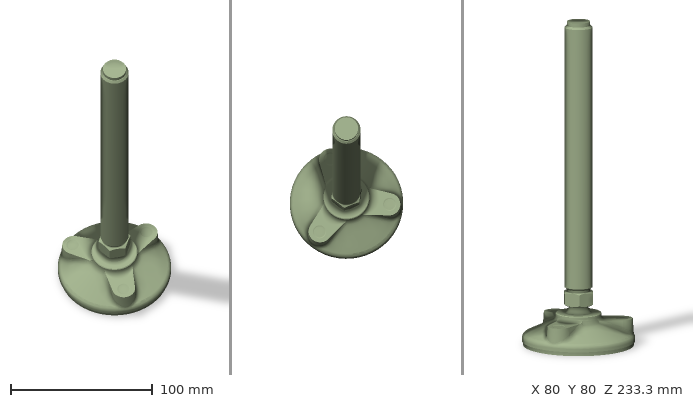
import cadquery as cq
import math

total_height = 233.28

base_pad_diameter = 78.2
base_pad_height = 2.9
plate_diameter = 80.0
rim_straight_top = 5.0
rim_round_radius = 4.0
cone_slope = math.radians(25)

hub_diameter = 32.4
hub_top = 23.4
hub_fillet_radius = 4.0
hub_edge_chamfer = 0.5

lug_count = 3
first_lug_angle = 90
lug_top = 18.9
recess_from_axis = 30.8
lug_end_from_axis = 30.2
lug_end_radius = 8.1
lug_root_radius = 11.3
lug_draft = 4.0
lug_base_fillet = 2.5
lug_hub_fillet = 2.3
lug_back = 11.5
lug_blank_top = 28.0
collar_embedding = 1.0
edge_tolerance = 0.1
recess_diameter = 9.4
recess_floor_diameter = 7.91
recess_depth = 0.2

neck_diameter = 14.3
neck_bottom = 27.1
flare_diameter = 18.5
hex_across_flats = 20.0
hex_bottom = 28.9
hex_height = 10.0
hex_chamfer_diameter = 19.6
hex_chamfer_angle = math.radians(30)

rod_diameter = 20.0
rod_bottom = 40.4
rod_chamfer_height = 1.5
relief_diameter = 16.5
tip_diameter = 16.5
tip_length = 2.75
rod_end_diameter = 17.2


def polar_point(radius, angle, center=(0, 0)):
    return (center[0] + radius * math.cos(angle), center[1] + radius * math.sin(angle))


plate_radius = plate_diameter / 2
hub_radius = hub_diameter / 2
cone_normal = math.pi / 2 - cone_slope
rim_center = (plate_radius - rim_round_radius, rim_straight_top)
rim_end = polar_point(rim_round_radius, cone_normal, rim_center)


def revolve_about_z(profile):
    return profile.close().revolve(360, (0, 0), (0, 1))


def spread_over_lugs(body):
    """Copies of a body made along +X, one turned to each lug."""
    turns = [first_lug_angle + i * 360 / lug_count for i in range(lug_count)]
    return [body.rotate((0, 0, 0), (0, 0, 1), turn) for turn in turns]


def cone_height(radius):
    """Height of the conical surface at a distance from the axis."""
    return rim_end[1] + (rim_end[0] - radius) * math.tan(cone_slope)


def make_plate():
    """Stepped disc with a rounded rim, rising as a full cone to the axis."""
    rim_middle = polar_point(rim_round_radius, cone_normal / 2, rim_center)
    return revolve_about_z(
        cq.Workplane("XZ")
        .lineTo(base_pad_diameter / 2, 0)
        .lineTo(base_pad_diameter / 2, base_pad_height)
        .lineTo(plate_radius, base_pad_height)
        .lineTo(plate_radius, rim_straight_top)
        .threePointArc(rim_middle, rim_end)
        .lineTo(0, cone_height(0))
    )


def make_hub():
    """Round hub with a chamfered top, blended into the cone by a concave fillet."""
    fillet_top = cone_height(hub_radius) + hub_fillet_radius * math.tan(cone_normal / 2)
    fillet_center = (hub_radius + hub_fillet_radius, fillet_top)
    fillet_start = polar_point(-hub_fillet_radius, cone_normal, fillet_center)
    fillet_middle = polar_point(-hub_fillet_radius, cone_normal / 2, fillet_center)
    return revolve_about_z(
        cq.Workplane("XZ")
        .moveTo(0, rim_straight_top)
        .lineTo(fillet_start[0], rim_straight_top)
        .lineTo(*fillet_start)
        .threePointArc(fillet_middle, (hub_radius, fillet_top))
        .lineTo(hub_radius, hub_top - hub_edge_chamfer)
        .lineTo(hub_radius - hub_edge_chamfer, hub_top)
        .lineTo(0, hub_top)
    )


def lug_outline(height):
    """Outline of the drafted lug along +X at a height: a round end and sides widening to the axis."""
    inset = (height - lug_top) * math.tan(math.radians(lug_draft))
    end_radius = lug_end_radius - inset
    root_radius = lug_root_radius - inset
    side_normal = math.acos((root_radius - end_radius) / lug_end_from_axis)
    root = polar_point(root_radius, side_normal)
    end = polar_point(end_radius, side_normal, (lug_end_from_axis, 0))
    side_slope = (end[1] - root[1]) / (end[0] - root[0])
    back_half_width = root[1] + (lug_back - root[0]) * side_slope
    return (
        cq.Workplane("XY", origin=(0, 0, height))
        .moveTo(lug_back, -back_half_width)
        .lineTo(end[0], -end[1])
        .threePointArc((lug_end_from_axis + end_radius, 0), end)
        .lineTo(lug_back, back_half_width)
        .close()
    )


def make_lug_blank():
    """Drafted lug along +X, reaching above the cone so that its root is one open chain of edges."""
    return lug_outline(lug_blank_top).extrude(rim_straight_top - lug_blank_top, taper=-lug_draft)


def is_lug_root(edge):
    """Sloping curved edge where the side or end of a lug meets the cone or the rim."""
    box = edge.BoundingBox()
    center = edge.Center()
    is_sloping_curve = edge.geomType() != "LINE" and box.zlen > edge_tolerance
    is_above_rim = box.zmin > rim_straight_top + edge_tolerance
    return is_sloping_curve and is_above_rim and math.hypot(center.x, center.y) > hub_radius


def make_foot():
    """Plate with filleted lugs cut level, the hub, the lug-to-hub blends and the lug recesses."""
    body = make_plate()
    for lug in spread_over_lugs(make_lug_blank()):
        body = body.union(lug)
    roots = [edge for edge in body.edges().vals() if is_lug_root(edge)]
    body = cq.Workplane(body.val().fillet(lug_base_fillet, roots))

    body = body.intersect(cq.Workplane("XY").circle(plate_diameter).extrude(lug_top))
    hub = make_hub()
    for collar in spread_over_lugs(make_lug_collar()):
        hub = hub.union(collar)
    body = body.union(hub)
    for recess in spread_over_lugs(make_lug_recess()):
        body = body.cut(recess)
    return body


def make_lug_collar():
    """Concave blend between the flat lug top and the hub wall, rooted inside the lug along +X."""
    collar_bottom = lug_top - collar_embedding
    collar_top = lug_top + lug_hub_fillet
    ring = revolve_about_z(
        cq.Workplane("XZ")
        .moveTo(0, collar_bottom)
        .lineTo(hub_radius + lug_hub_fillet, collar_bottom)
        .lineTo(hub_radius + lug_hub_fillet, lug_top)
        .radiusArc((hub_radius, collar_top), lug_hub_fillet)
        .lineTo(0, collar_top)
    )
    sector = lug_outline(lug_top).extrude(collar_top - collar_bottom)
    return ring.intersect(sector.translate((0, 0, -collar_embedding)))


def make_lug_recess():
    """Shallow tapered recess in the top of the lug along +X."""
    return (
        cq.Workplane("XY", origin=(recess_from_axis, 0, lug_top))
        .circle(recess_diameter / 2)
        .workplane(offset=-recess_depth)
        .circle(recess_floor_diameter / 2)
        .loft()
    )


def make_hexagon():
    """Hexagon with corners on the X axis, both ends chamfered by cones."""
    prism = (
        cq.Workplane("XY", origin=(0, 0, hex_bottom))
        .polygon(6, hex_across_flats, circumscribed=True)
        .extrude(hex_height)
        .rotate((0, 0, 0), (0, 0, 1), 30)
    )
    corner_radius = hex_across_flats / 2 / math.cos(math.pi / 6)
    chamfer_radius = hex_chamfer_diameter / 2
    chamfer_height = (corner_radius - chamfer_radius) * math.tan(hex_chamfer_angle)
    hex_top = hex_bottom + hex_height
    envelope = (
        cq.Workplane("XZ")
        .moveTo(0, hex_bottom)
        .lineTo(chamfer_radius, hex_bottom)
        .lineTo(corner_radius, hex_bottom + chamfer_height)
        .lineTo(corner_radius, hex_top - chamfer_height)
        .lineTo(chamfer_radius, hex_top)
        .lineTo(0, hex_top)
        .close()
        .revolve(360, (0, 0), (0, 1))
    )
    return prism.intersect(envelope)


def make_stud():
    """Revolved stud: flared neck, relief above the hexagon, long rod and reduced tip."""
    rod_radius = rod_diameter / 2
    flare_height = neck_bottom - hub_top
    flare_width = (flare_diameter - neck_diameter) / 2
    flare_radius = (flare_width**2 + flare_height**2) / (2 * flare_width)
    rod_end = total_height - tip_length
    return (
        cq.Workplane("XZ")
        .moveTo(0, hub_top)
        .lineTo(flare_diameter / 2, hub_top)
        .radiusArc((neck_diameter / 2, neck_bottom), flare_radius)
        .lineTo(neck_diameter / 2, hex_bottom + hex_height / 2)
        .lineTo(relief_diameter / 2, hex_bottom + hex_height / 2)
        .lineTo(relief_diameter / 2, rod_bottom)
        .lineTo(rod_radius, rod_bottom + rod_chamfer_height)
        .lineTo(rod_radius, rod_end - rod_chamfer_height)
        .lineTo(rod_end_diameter / 2, rod_end)
        .lineTo(tip_diameter / 2, rod_end)
        .lineTo(tip_diameter / 2, total_height)
        .lineTo(0, total_height)
        .close()
        .revolve(360, (0, 0), (0, 1))
    )


result = make_foot().union(make_stud()).union(make_hexagon())